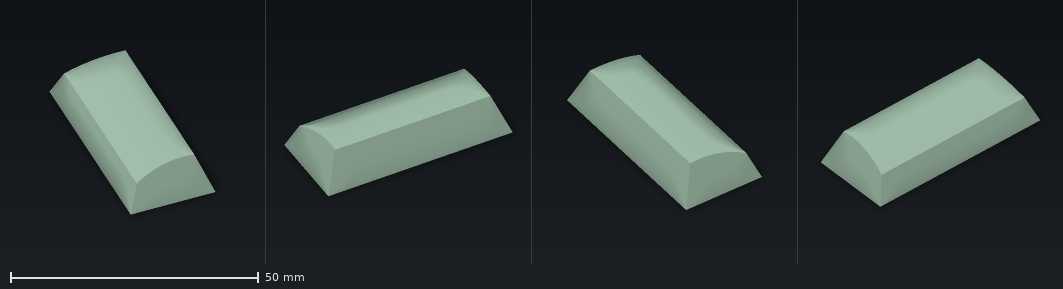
import cadquery as cq

length = 42.48
width = 18.6
height = 8.55
wall_draft = 21.4

crown_radius = 22.5
crown_peak_y = 3.8


def draft_block():
    """Rectangular base with all four walls leaning inward."""
    return cq.Workplane("XY").rect(length, width).extrude(height, taper=wall_draft)


def crown_cylinder():
    """Cylinder along X whose top line touches the full height of the cap."""
    return (
        cq.Workplane("YZ")
        .center(crown_peak_y, height - crown_radius)
        .circle(crown_radius)
        .extrude(length / 2, both=True)
    )


keycap = draft_block().intersect(crown_cylinder())

result = cq.Compound.makeCompound([keycap.val()])